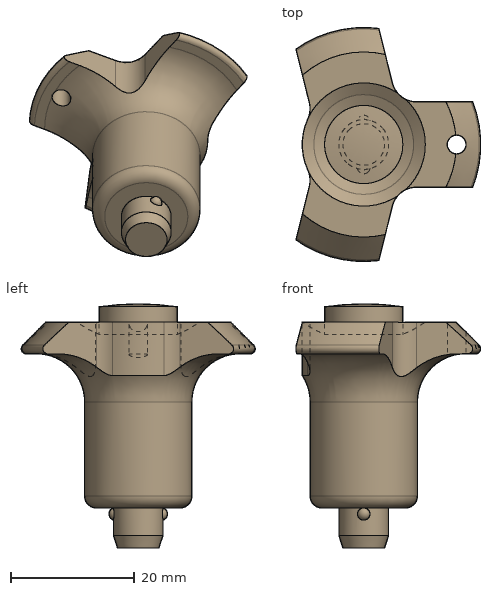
import cadquery as cq
import math

pin_radius = 4.05
pin_tip_radius = 3.37
pin_chamfer_height = 2.05
ball_radius = 1.05
ball_reach = 4.75
ball_z = 5.55

body_bottom = 6.5
body_radius = 8.75
body_edge_round = 2.0
flare_start = 23.8
flare_radius = 7.8

handle_top = 36.72
handle_radius = 19.0
rim_round = 0.85
arm_width = 13.9
arm_spread = 104.0
hub_radius = 10.0
arm_root_round = 4.0
lanyard_hole_radius = 1.5
lanyard_hole_x = 15.1

recess_step_radius = 8.1
recess_step_depth = 1.2
recess_depth = 2.0
button_radius = 6.35
button_edge_z = 39.22
button_top = 39.7

arm_underside = flare_start + flare_radius
flare_end_radius = body_radius + flare_radius

diagonal = math.sqrt(0.5)
rim_center_radius = handle_radius - rim_round
rim_center_z = arm_underside + rim_round
slope_end_radius = rim_center_radius + rim_round * diagonal
slope_end_z = rim_center_z + rim_round * diagonal
slope_start_radius = slope_end_radius - (handle_top - slope_end_z)


def revolve(profile):
    """Turn a closed (radius, z) profile about the Z axis."""
    return profile.close().revolve(360, (0, 0, 0), (0, 1, 0))


def make_pin():
    profile = (
        cq.Workplane("XZ")
        .lineTo(pin_tip_radius, 0)
        .lineTo(pin_radius, pin_chamfer_height)
        .lineTo(pin_radius, flare_start)
        .lineTo(0, flare_start)
    )
    pin = revolve(profile)
    for side in (-1, 1):
        ball_y = side * (ball_reach - ball_radius)
        pin = pin.union(cq.Workplane("XY").sphere(ball_radius).translate((0, ball_y, ball_z)))
    return pin


def make_grip():
    """Full round grip: body, flare and rounded handle rim."""
    flare_middle = (
        flare_end_radius - flare_radius * diagonal,
        flare_start + flare_radius * diagonal,
    )
    profile = (
        cq.Workplane("XZ")
        .moveTo(0, body_bottom)
        .lineTo(body_radius - body_edge_round, body_bottom)
        .radiusArc((body_radius, body_bottom + body_edge_round), -body_edge_round)
        .lineTo(body_radius, flare_start)
        .threePointArc(flare_middle, (flare_end_radius, arm_underside))
        .lineTo(rim_center_radius, arm_underside)
        .threePointArc((handle_radius, rim_center_z), (slope_end_radius, slope_end_z))
        .lineTo(slope_start_radius, handle_top)
        .lineTo(0, handle_top)
    )
    return revolve(profile)


def make_arm_outline():
    """Upright prism with the plan shape of the hub and its arms."""
    height = handle_top - body_bottom
    back_half = cq.Workplane("XY").moveTo(0, hub_radius).threePointArc((-hub_radius, 0), (0, -hub_radius))
    outline = back_half.close().extrude(height)
    for angle in (0, arm_spread, -arm_spread):
        arm = cq.Workplane("XY").rect(handle_radius, arm_width).extrude(height)
        arm = arm.translate((handle_radius / 2, 0, 0)).rotate((0, 0, 0), (0, 0, 1), angle)
        outline = outline.union(arm)
    reach = hub_radius + 0.4
    hub_zone = cq.selectors.BoxSelector((-reach, -reach, 0), (reach, reach, height))
    outline = outline.edges("|Z").edges(hub_zone).fillet(arm_root_round)
    return outline.translate((0, 0, body_bottom))


def make_recess():
    """Two-stage conical dish around the button."""
    floor_z = handle_top - recess_depth
    profile = (
        cq.Workplane("XZ")
        .moveTo(0, floor_z)
        .lineTo(button_radius, floor_z)
        .lineTo(recess_step_radius, handle_top - recess_step_depth)
        .lineTo(hub_radius, handle_top)
        .lineTo(0, handle_top)
    )
    return revolve(profile)


def make_button():
    """Push button with a slightly domed top, rooted below the recess floor."""
    dome_rise = button_top - button_edge_z
    dome_radius = (button_radius**2 + dome_rise**2) / (2 * dome_rise)
    profile = (
        cq.Workplane("XZ")
        .moveTo(0, flare_start)
        .lineTo(button_radius, flare_start)
        .lineTo(button_radius, button_edge_z)
        .radiusArc((0, button_top), -dome_radius)
    )
    return revolve(profile)


lanyard_hole = (
    cq.Workplane("XY")
    .center(lanyard_hole_x, 0)
    .circle(lanyard_hole_radius)
    .extrude(handle_top)
)

handle = make_grip().intersect(make_arm_outline()).cut(make_recess()).cut(lanyard_hole)
result = handle.union(make_pin()).union(make_button())